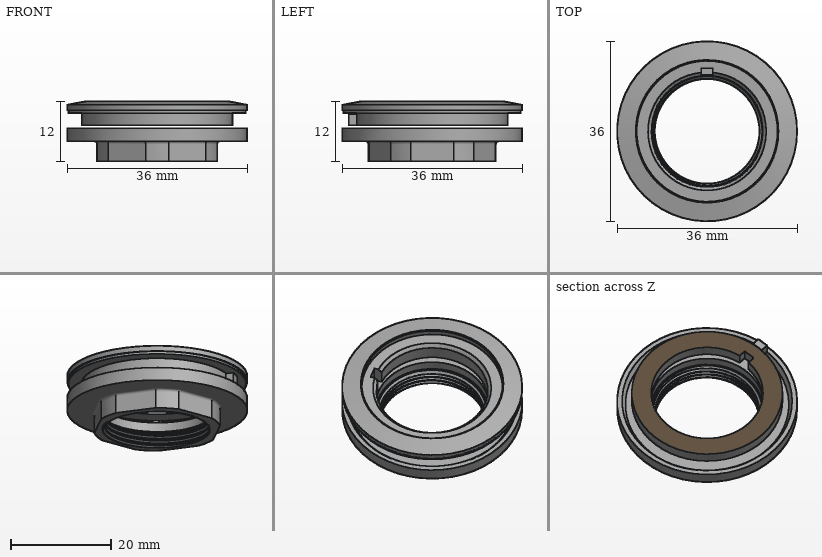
import cadquery as cq
import math

outer_diameter = 36.0
total_height = 12.02
cut_margin = 0.35
boolean_tolerance = 0.001

hex_height = 4.0
flange_top = 6.65
hex_sides = 6
hex_across_flats = 24.05
hex_corner_diameter = 25.52
hex_fillet = 0.5
recess_diameter = 34.0
recess_floor = 5.5
recess_wall_angle = 30.0
nut_bore_diameter = 22.6
thread_top = 3.45
thread_major_diameter = 22.0
thread_minor_diameter = 20.88
thread_pitch = 1.0
thread_flank_angle = 30.0
thread_mouth_share = 0.75
thread_overlap = 0.18
thread_start_angle = 225.0
lead_in_diameter = 22.05
lead_in_angle = 45.0

ring_bottom = 7.2
spigot_top = 9.65
step_top = 10.2
rim_top = 11.3
spigot_diameter = 30.2
step_diameter = 35.5
dish_diameter = 28.1
dish_chamfer = 0.2
dish_chamfer_depth = 0.15
dish_floor = 10.8
ring_bore_diameter = 22.25
ring_bore_chamfer = 0.7
slot_width = 2.35
slot_reach = 12.55
key_width = slot_width
key_reach = 16.65
key_top = 9.5


def cylinder(diameter, bottom, top):
    """Solid cylinder on the Z axis between two heights."""
    return cq.Workplane("XY").workplane(offset=bottom).circle(diameter / 2).extrude(top - bottom)


def radial_block(width, inner, outer, bottom, top):
    """Block pointing along +Y, centred on X = 0."""
    block = cq.Workplane("XY").box(width, outer - inner, top - bottom, centered=(True, False, False))
    return block.translate((0, inner, bottom))


def cone(top_diameter, bottom_diameter, top, wall_angle):
    """Solid cone narrowing downward, its wall tilted by wall_angle from the Z axis."""
    top_radius = top_diameter / 2
    bottom_radius = bottom_diameter / 2
    bottom = top - (top_radius - bottom_radius) / math.tan(math.radians(wall_angle))
    profile = [(0, top), (top_radius, top), (bottom_radius, bottom), (0, bottom)]
    return cq.Workplane("XZ").polyline(profile).close().revolve(360, (0, 0, 0), (0, 1, 0))


def make_thread_groove():
    """Helical groove of the internal thread, running out past both ends of the threaded bore."""
    inner_radius = thread_minor_diameter / 2 - thread_overlap
    minor_radius = thread_minor_diameter / 2
    major_radius = thread_major_diameter / 2
    mouth_half = thread_pitch * thread_mouth_share / 2
    root_half = mouth_half - (major_radius - minor_radius) * math.tan(math.radians(thread_flank_angle))
    start = -thread_pitch
    length = thread_top + 2 * thread_pitch
    helix = cq.Wire.makeHelix(thread_pitch, length, minor_radius).translate(cq.Vector(0, 0, start))
    groove = (
        cq.Workplane("XZ")
        .polyline([
            (inner_radius, start - mouth_half),
            (minor_radius, start - mouth_half),
            (major_radius, start - root_half),
            (major_radius, start + root_half),
            (minor_radius, start + mouth_half),
            (inner_radius, start + mouth_half),
        ])
        .close()
        .sweep(cq.Workplane(obj=helix), isFrenet=True)
    )
    return groove.rotate((0, 0, 0), (0, 0, 1), thread_start_angle)


def make_nut():
    """Flanged nut with rounded hexagon corners, a tapered recess and a threaded bore."""
    hexagon_corner_circle = hex_across_flats / math.cos(math.pi / hex_sides)
    hexagon = (
        cq.Workplane("XY")
        .transformed(rotate=(0, 0, 180 / hex_sides))
        .polygon(hex_sides, hexagon_corner_circle)
        .extrude(hex_height)
        .intersect(cylinder(hex_corner_diameter, 0, hex_height))
    )
    nut = cylinder(outer_diameter, hex_height, flange_top).union(hexagon)
    flange_underside = nut.faces("<Z[1]").val()
    hex_outline = flange_underside.innerWires()[0]
    nut = nut.newObject(hex_outline.Edges()).fillet(hex_fillet)
    recess_taper = (flange_top - recess_floor) * math.tan(math.radians(recess_wall_angle))
    recess_floor_diameter = recess_diameter - 2 * recess_taper
    nut = nut.cut(cone(recess_diameter, recess_floor_diameter, flange_top, recess_wall_angle))
    nut = nut.cut(cylinder(nut_bore_diameter, thread_top, flange_top))
    nut = nut.cut(cylinder(thread_minor_diameter, -cut_margin, thread_top + cut_margin))
    nut = nut.cut(cone(lead_in_diameter, thread_minor_diameter, thread_top, lead_in_angle))
    nut = nut.cut(make_thread_groove(), tol=boolean_tolerance)
    return nut


def make_ring():
    """Dished ring with a key on the outside of the spigot and a slot through its bore wall."""
    dish_radius = dish_diameter / 2
    bore_radius = ring_bore_diameter / 2
    profile = [
        (bore_radius, ring_bottom),
        (spigot_diameter / 2, ring_bottom),
        (spigot_diameter / 2, spigot_top),
        (step_diameter / 2, spigot_top),
        (step_diameter / 2, step_top),
        (outer_diameter / 2, step_top),
        (outer_diameter / 2, rim_top),
        (dish_radius + dish_chamfer, total_height),
        (dish_radius, total_height - dish_chamfer_depth),
        (dish_radius, dish_floor),
        (bore_radius + ring_bore_chamfer, dish_floor),
        (bore_radius, dish_floor - ring_bore_chamfer),
    ]
    ring = cq.Workplane("XZ").polyline(profile).close().revolve(360, (0, 0, 0), (0, 1, 0))
    wall_middle = (slot_reach + spigot_diameter / 2) / 2
    ring = ring.union(radial_block(key_width, wall_middle, key_reach, ring_bottom, key_top))
    return ring.cut(radial_block(slot_width, 0, slot_reach, ring_bottom, dish_floor))


nut = make_nut()
ring = make_ring()
result = cq.Compound.makeCompound([nut.solids().val(), ring.solids().val()])